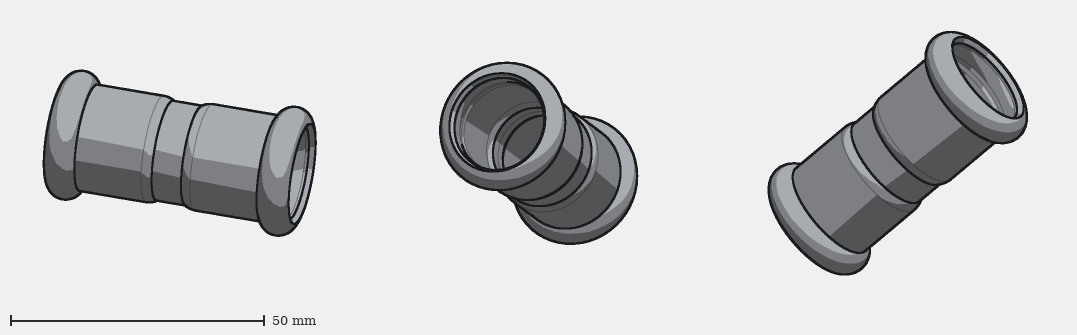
import cadquery as cq
import math

length = 50.0
wall = 1.5
socket_radius = 21.3 / 2
waist_radius = 20.0 / 2
bead_radius = 25.7 / 2
bead_width = 6.4
bead_crown = 3.2
waist_half_length = 3.0
shoulder_length = 2.0

mouth_radius = 20.0 / 2
seal_radius = 18.7 / 2
mouth_depth = 1.2
bulge_start = 1.85
bulge_end = 4.65
seal_bulge = 0.2
seal_end = 5.55

half_length = length / 2
socket_bore = socket_radius - wall
waist_bore = waist_radius - wall
shoulder_end = waist_half_length + shoulder_length


def shoulder_midpoint(large_radius, small_radius):
    """Middle of the arc that leaves the socket tangentially and drops to the waist."""
    drop = large_radius - small_radius
    arc_radius = (shoulder_length**2 + drop**2) / (2 * drop)
    half_angle = math.asin(shoulder_length / arc_radius) / 2
    x = -shoulder_end + arc_radius * math.sin(half_angle)
    return x, large_radius - arc_radius * (1 - math.cos(half_angle))


def half_section():
    """Closed wall section of the left half, from the end plane to the middle of the waist."""
    end = -half_length
    outside = (
        cq.Workplane("XY")
        .moveTo(end, mouth_radius)
        .threePointArc((end + bead_crown, bead_radius), (end + bead_width, socket_radius))
        .lineTo(-shoulder_end, socket_radius)
        .threePointArc(shoulder_midpoint(socket_radius, waist_radius), (-waist_half_length, waist_radius))
        .lineTo(0, waist_radius)
    )
    bore = (
        outside.lineTo(0, waist_bore)
        .lineTo(-waist_half_length, waist_bore)
        .threePointArc(shoulder_midpoint(socket_bore, waist_bore), (-shoulder_end, socket_bore))
        .lineTo(end + bead_width, socket_bore)
    )
    bulge_middle = (bulge_start + bulge_end) / 2
    return (
        bore.lineTo(end + seal_end, seal_radius)
        .lineTo(end + bulge_end, seal_radius)
        .threePointArc((end + bulge_middle, seal_radius - seal_bulge), (end + bulge_start, seal_radius))
        .lineTo(end + mouth_depth, seal_radius)
        .close()
    )


left_half = half_section().revolve(360, (0, 0, 0), (1, 0, 0))
result = left_half.union(left_half.mirror("YZ"))